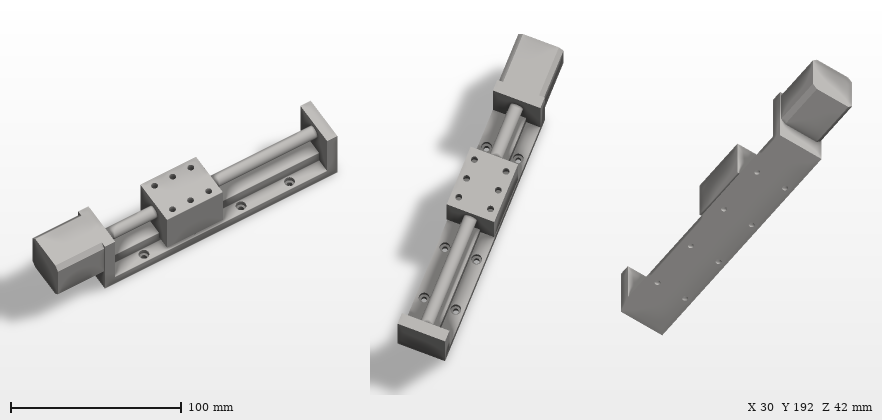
import cadquery as cq

stage_width = 30.0
overall_length = 192.0
overall_height = 42.0
motor_length = 31.9
base_length = overall_length - motor_length
plate_thickness = 7.1
end_plate_y = base_length - plate_thickness
travel_span = base_length - 2 * plate_thickness

base_height = 6.5
seat_height = 3.6
rail_width = 12.0
rail_top = 14.0
mount_hole_diameter = 3.5
mount_counterbore_diameter = 6.3
mount_counterbore_depth = 3.0
mount_hole_count = 4
mount_hole_pitch = 33.5
hole_row_spacing = 20.0

end_plate_top = 36.5
motor_size = 28.5
motor_chamfer = 2.9
screw_diameter = 8.0
screw_z = 28.2

carriage_length = 38.4
carriage_y = 42.8
carriage_bottom = 9.8
carriage_top = 37.6
thread_hole_diameter = 4.0
thread_hole_depth = 5.8
thread_hole_count = 3
thread_hole_pitch = 12.5


def block(width, y_start, length, z_bottom, z_top):
    """Box centred on X, given by its start in Y and its Z limits."""
    return (
        cq.Workplane("XY", origin=(0, y_start, z_bottom))
        .box(width, length, z_top - z_bottom, centered=(True, False, False))
    )


def screw_rod(y_start, length):
    """Cylinder on the lead screw axis, running toward +Y."""
    return (
        cq.Workplane("XZ", origin=(0, y_start, screw_z))
        .circle(screw_diameter / 2)
        .extrude(-length)
    )


def hole_grid(body, y_centre, z_top, pitch, count):
    """Select two rows of evenly spaced hole centres at the given height."""
    return (
        body.copyWorkplane(cq.Workplane("XY", origin=(0, y_centre, z_top)))
        .rarray(hole_row_spacing, pitch, 2, count)
    )


def make_base():
    floor = block(stage_width, 0, base_length, 0, seat_height)
    raised = block(stage_width, plate_thickness, travel_span, seat_height, base_height)
    rail = block(rail_width, plate_thickness, travel_span, base_height, rail_top)
    body = floor.union(raised).union(rail)
    holes = hole_grid(body, base_length / 2, base_height, mount_hole_pitch, mount_hole_count)
    return holes.cboreHole(mount_hole_diameter, mount_counterbore_diameter, mount_counterbore_depth)


def make_carriage():
    body = block(stage_width, carriage_y, carriage_length, carriage_bottom, carriage_top)
    rail_slot = block(rail_width, carriage_y, carriage_length, carriage_bottom, rail_top)
    body = body.cut(rail_slot).cut(screw_rod(carriage_y, carriage_length))
    carriage_centre = carriage_y + carriage_length / 2
    holes = hole_grid(body, carriage_centre, carriage_top, thread_hole_pitch, thread_hole_count)
    return holes.hole(thread_hole_diameter, thread_hole_depth)


def make_motor():
    body = block(motor_size, -motor_length, motor_length, overall_height - motor_size, overall_height)
    return body.edges("|Y").chamfer(motor_chamfer)


base = make_base()
carriage = make_carriage()
motor = make_motor()
motor_plate = block(stage_width, 0, plate_thickness, seat_height, overall_height)
end_plate = block(stage_width, end_plate_y, plate_thickness, seat_height, end_plate_top)
lead_screw = screw_rod(plate_thickness, travel_span)

result = cq.Compound.makeCompound([
    base.val(),
    carriage.val(),
    motor.val(),
    motor_plate.val(),
    end_plate.val(),
    lead_screw.val(),
])